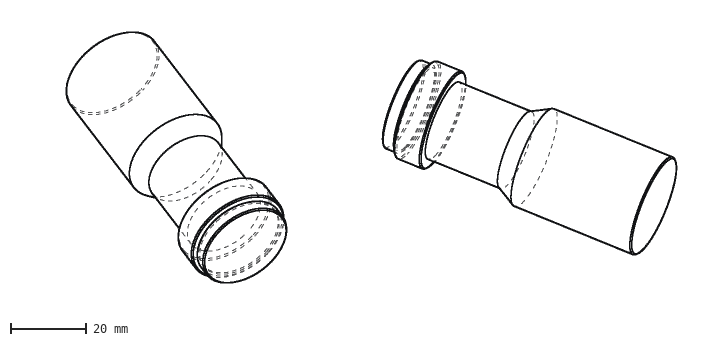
import cadquery as cq

length = 74.2
body_diameter = 28.0
body_radius = body_diameter / 2
neck_radius = 11.05
groove_radius = 12.0
spigot_radius = 12.7

cone_start = 35.5
neck_start = 40.9
collar_start = 62.2
collar_end = 70.2
spigot_start = 70.8

edge_chamfer = 0.4

profile = [
    (0, 0),
    (0, body_radius - edge_chamfer),
    (edge_chamfer, body_radius),
    (cone_start, body_radius),
    (neck_start, neck_radius),
    (collar_start, neck_radius),
    (collar_start, body_radius - edge_chamfer),
    (collar_start + edge_chamfer, body_radius),
    (collar_end - edge_chamfer, body_radius),
    (collar_end, body_radius - edge_chamfer),
    (collar_end, groove_radius),
    (spigot_start, groove_radius),
    (spigot_start, spigot_radius),
    (length - edge_chamfer, spigot_radius),
    (length, spigot_radius - edge_chamfer),
    (length, 0),
]

turned_part = cq.Workplane("XY").polyline(profile).close().revolve(360, (0, 0, 0), (1, 0, 0))

result = turned_part.translate((-length / 2, 0, 0))